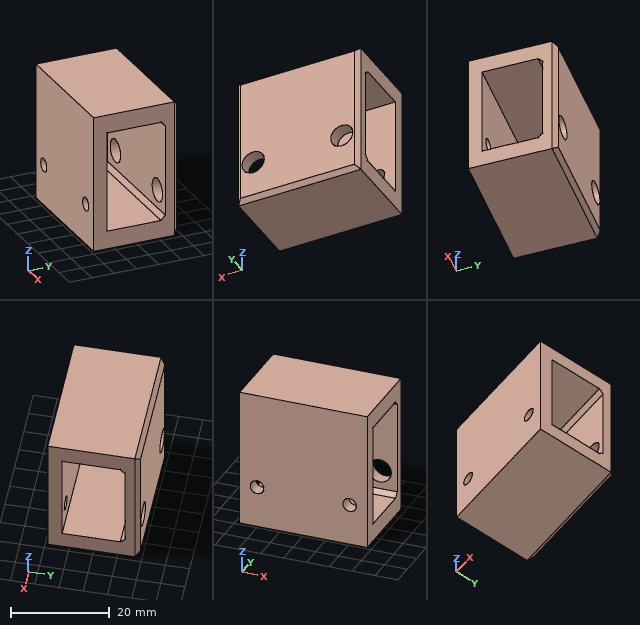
import cadquery as cq

width = 28.0
depth = 19.0
height = 30.0
back_chamfer = 1.0

front_wall = 3.0
back_wall = 3.0
floor_thickness = 4.0
tunnel_chamfer = 1.0

front_hole_diameter = 2.9
back_hole_diameter = 5.0
hole_spacing = 20.25
hole_height = 9.0

front_y = -depth / 2
back_y = depth / 2


def make_block():
    """Solid block with all four edges of its back face chamfered."""
    block = cq.Workplane("XY").box(width, depth, height, centered=(True, True, False))
    return block.faces(">Y").chamfer(back_chamfer)


def make_tunnel():
    """Tunnel volume with its two long back edges chamfered."""
    tunnel_depth = depth - front_wall - back_wall
    tunnel_height = height - 2 * floor_thickness
    tunnel = (
        cq.Workplane("XY")
        .box(width, tunnel_depth, tunnel_height, centered=(True, False, False))
        .translate((0, front_y + front_wall, floor_thickness))
    )
    return tunnel.faces(">Y").edges("|X").chamfer(tunnel_chamfer)


def make_wall_holes(diameter, start_y, wall):
    """Pair of cylinders along Y that cross one wall, starting at start_y."""
    return (
        cq.Workplane("XZ")
        .workplane(offset=-start_y)
        .pushPoints([(side * hole_spacing / 2, hole_height) for side in (-1, 1)])
        .circle(diameter / 2)
        .extrude(-wall)
    )


result = (
    make_block()
    .cut(make_tunnel())
    .cut(make_wall_holes(front_hole_diameter, front_y, front_wall))
    .cut(make_wall_holes(back_hole_diameter, back_y - back_wall, back_wall))
)